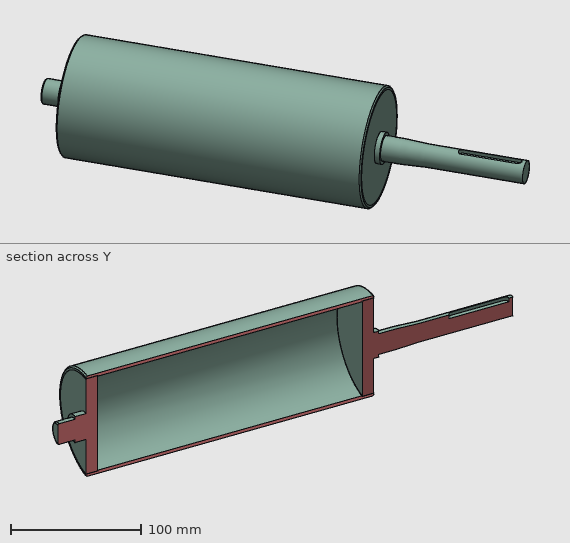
import cadquery as cq

total_length = 387.0

drum_start = 24.0
drum_length = 245.0
drum_end = drum_start + drum_length
drum_diameter = 96.0
bore_diameter = 89.0
drum_chamfer = 1.0

disc_diameter = 90.0
disc_thickness = 10.0

collar_diameter = 25.0
journal_diameter = 20.0
left_collar_start = 14.7
right_collar_end = 273.2
stub_chamfer = 1.0

shaft_diameter = 18.0
taper_start = 288.5
taper_end = 308.0

key_start = 333.0
key_end = 383.5
key_width = 6.0
key_depth = 3.5


def cylinder(diameter, start, end):
    """Solid cylinder on the X axis between two X positions."""
    return cq.Workplane("YZ", origin=(start, 0, 0)).circle(diameter / 2).extrude(end - start)


def make_drum():
    """Tube with chamfered rims and a recess for a disc at each end."""
    drum = cylinder(drum_diameter, drum_start, drum_end).edges().chamfer(drum_chamfer)
    drum = drum.cut(cylinder(bore_diameter, drum_start, drum_end))
    for recess_start in (drum_start, drum_end - disc_thickness):
        drum = drum.cut(cylinder(disc_diameter, recess_start, recess_start + disc_thickness))
    return drum


def make_stub_end():
    """Left disc with its collar and short bearing journal."""
    disc = cylinder(disc_diameter, drum_start, drum_start + disc_thickness)
    collar = cylinder(collar_diameter, left_collar_start, drum_start)
    journal = cylinder(journal_diameter, 0, left_collar_start).faces("<X").chamfer(stub_chamfer)
    return disc.union(collar).union(journal)


def make_keyway():
    """Round-ended cutter for the keyway."""
    floor_height = shaft_diameter / 2 - key_depth
    return (
        cq.Workplane("XY", origin=((key_start + key_end) / 2, 0, floor_height))
        .slot2D(key_end - key_start, key_width)
        .extrude(shaft_diameter)
    )


def make_drive_end():
    """Right disc with its collar, journal, taper and keyed drive shaft."""
    disc = cylinder(disc_diameter, drum_end - disc_thickness, drum_end)
    collar = cylinder(collar_diameter, drum_end, right_collar_end)
    half_profile = [
        (right_collar_end, 0),
        (right_collar_end, journal_diameter / 2),
        (taper_start, journal_diameter / 2),
        (taper_end, shaft_diameter / 2),
        (total_length, shaft_diameter / 2),
        (total_length, 0),
    ]
    shaft = cq.Workplane("XY").polyline(half_profile).close().revolve(360, (0, 0, 0), (1, 0, 0))
    return disc.union(collar).union(shaft).cut(make_keyway())


drum = make_drum()
stub_end = make_stub_end()
drive_end = make_drive_end()

result = cq.Compound.makeCompound([drum.val(), stub_end.val(), drive_end.val()])